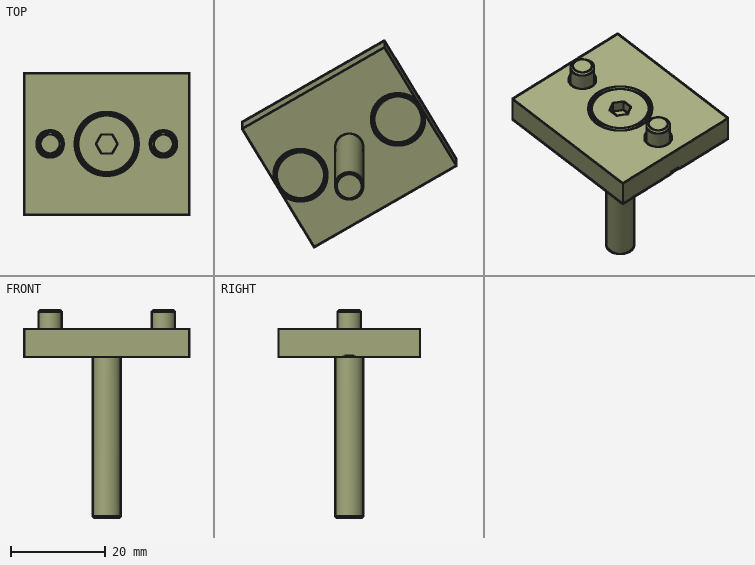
import cadquery as cq
import math

plate_length = 35.0
plate_width = 30.0
plate_thickness = 6.0

screw_diameter = 6.0
screw_length = 40.0
screw_face_diameter = 12.0
screw_sink_diameter = 13.6
screw_tip_chamfer = 0.35
socket_across_flats = 4.0
socket_depth = 2.5

pin_diameter = 5.0
pin_length = 10.0
pin_face_diameter = 10.0
pin_sink_diameter = 11.5
pin_tip_chamfer = 0.5
pin_hole_diameter = 5.8
pin_spacing = 24.0
pin_positions = [-pin_spacing / 2, pin_spacing / 2]


def countersunk_body(shank_diameter, length, face_diameter, sink_diameter, tip_chamfer):
    """Body along +Z with its head face at Z = 0 and 45 degree flanks.

    The head widens from its face to a rim that meets the countersink, then
    tapers along the countersink to the shank.
    """
    shank_radius = shank_diameter / 2
    face_radius = face_diameter / 2
    rim_depth = (sink_diameter - face_diameter) / 4
    rim_radius = face_radius + rim_depth
    head_depth = sink_diameter / 2 - shank_radius
    profile = [
        (0, 0),
        (face_radius, 0),
        (rim_radius, rim_depth),
        (shank_radius, head_depth),
        (shank_radius, length - tip_chamfer),
        (shank_radius - tip_chamfer, length),
        (0, length),
    ]
    return cq.Workplane("XZ").polyline(profile).close().revolve(360, (0, 0), (0, 1))


def countersunk_hole(hole_diameter, sink_diameter):
    """Cutter for a plate hole along +Z with a 45 degree countersink at Z = 0."""
    hole_radius = hole_diameter / 2
    sink_radius = sink_diameter / 2
    profile = [
        (0, 0),
        (sink_radius, 0),
        (hole_radius, sink_radius - hole_radius),
        (hole_radius, plate_thickness),
        (0, plate_thickness),
    ]
    return cq.Workplane("XZ").polyline(profile).close().revolve(360, (0, 0), (0, 1))


def hang_from_top(shape):
    """Turn a shape to point down from the top face of the plate."""
    return shape.rotate((0, 0, 0), (1, 0, 0), 180).translate((0, 0, plate_thickness))


def make_plate():
    plate = cq.Workplane("XY").box(
        plate_length, plate_width, plate_thickness, centered=(True, True, False)
    )
    plate = plate.cut(hang_from_top(countersunk_hole(screw_diameter, screw_sink_diameter)))
    for x in pin_positions:
        plate = plate.cut(countersunk_hole(pin_hole_diameter, pin_sink_diameter).translate((x, 0, 0)))
    return plate


def make_screw():
    screw = countersunk_body(
        screw_diameter, screw_length, screw_face_diameter, screw_sink_diameter, screw_tip_chamfer
    )
    socket_across_corners = socket_across_flats / math.cos(math.pi / 6)
    socket = cq.Workplane("XY").polygon(6, socket_across_corners).extrude(socket_depth)
    return hang_from_top(screw.cut(socket))


def make_pin(x):
    pin = countersunk_body(
        pin_diameter, pin_length, pin_face_diameter, pin_sink_diameter, pin_tip_chamfer
    )
    return pin.translate((x, 0, 0))


plate = make_plate()
screw = make_screw()
pins = [make_pin(x) for x in pin_positions]

result = cq.Compound.makeCompound(
    [plate.solids().val(), screw.solids().val(), *[pin.val() for pin in pins]]
)